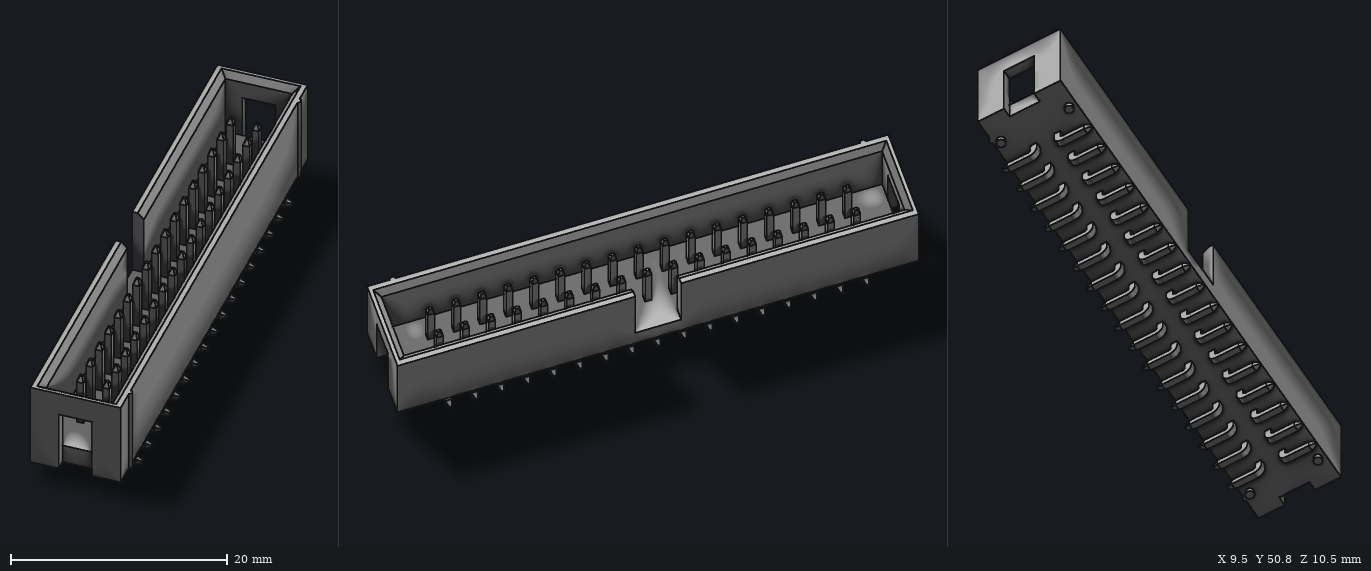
import cadquery as cq


body_length = 50.8
body_width = 8.9
body_height = 8.85
overall_height = 10.5
body_top = overall_height
body_bottom = overall_height - body_height
floor_thickness = 2.0
floor_top = body_bottom + floor_thickness
side_wall = 1.15
end_wall = 1.0
mouth_chamfer = 0.6
cavity_width = body_width - 2 * side_wall
cavity_length = body_length - 2 * end_wall
cavity_depth = body_top - floor_top

key_slot_width = 4.45
end_notch_width = 3.25
end_notch_height = 6.4

standoff_diameter = 0.85
standoff_height = 0.45
standoff_x = 3.65
standoff_y = 22.5
rib_radius = 0.3
rib_y = 22.9
rib_axis_inset = 0.075

pins_per_row = 17
pitch = 2.55
pin_size = 0.65
tip_size = 0.25
tip_length = 0.6
pin_top = 8.9
overall_width = 9.5
pin_lift = 0.1
bend_inner_radius = 0.3
bend_outer_radius = 0.85


def box_between(x_min, x_max, y_min, y_max, z_min, z_max):
    """Box given by its limits along each axis."""
    size = (x_max - x_min, y_max - y_min, z_max - z_min)
    return cq.Workplane("XY").box(*size, centered=False).translate((x_min, y_min, z_min))


def make_housing():
    """Open tray with a chamfered mouth."""
    block = (
        cq.Workplane("XY", origin=(0, 0, body_bottom))
        .box(body_width, body_length, body_height, centered=(True, True, False))
    )
    cavity = (
        cq.Workplane("XY", origin=(0, 0, floor_top))
        .box(cavity_width, cavity_length, cavity_depth, centered=(True, True, False))
    )
    mouth = (
        cq.Workplane("XY", origin=(0, 0, body_top - mouth_chamfer))
        .rect(cavity_width, cavity_length)
        .workplane(offset=mouth_chamfer)
        .rect(cavity_width + 2 * mouth_chamfer, cavity_length + 2 * mouth_chamfer)
        .loft(ruled=True)
    )
    return block.cut(cavity).cut(mouth)


def make_key_slot():
    """Polarising slot through the -X wall, open at the top."""
    return box_between(
        -body_width / 2, -cavity_width / 2,
        -key_slot_width / 2, key_slot_width / 2,
        floor_top, body_top,
    )


def make_end_notch(side):
    """Notch through one end wall, open at the bottom; side is -1 or 1."""
    y_limits = sorted((side * cavity_length / 2, side * body_length / 2))
    return box_between(
        -end_notch_width / 2, end_notch_width / 2,
        *y_limits,
        body_bottom, body_bottom + end_notch_height,
    )


def make_rib(side):
    """Rounded full-height rib on the +X face near one end."""
    return (
        cq.Workplane("XY", origin=(body_width / 2 - rib_axis_inset, side * rib_y, body_bottom))
        .circle(rib_radius)
        .extrude(body_height)
    )


def make_standoffs():
    """Four round standoffs under the corners of the housing."""
    return (
        cq.Workplane("XY", origin=(0, 0, body_bottom))
        .rect(2 * standoff_x, 2 * standoff_y, forConstruction=True)
        .vertices()
        .circle(standoff_diameter / 2)
        .extrude(-standoff_height)
    )


def make_tip(plane):
    """Pyramid-shaped pin end pointing along the plane normal."""
    return (
        cq.Workplane(plane)
        .rect(pin_size, pin_size)
        .workplane(offset=tip_length)
        .rect(tip_size, tip_size)
        .loft(ruled=True)
    )


def make_pin():
    """L-shaped pin of the +X row at Y = 0, its foot pointing to +X."""
    pin_x = pitch / 2
    shank_top = pin_top - tip_length
    foot_end = overall_width / 2 - tip_length
    left = pin_x - pin_size / 2
    right = pin_x + pin_size / 2
    bars = (
        box_between(left, right, -pin_size / 2, pin_size / 2, 0, shank_top)
        .union(box_between(left, foot_end, -pin_size / 2, pin_size / 2, 0, pin_size))
    )
    bend_outside = cq.selectors.NearestToPointSelector((left, 0, 0))
    bend_inside = cq.selectors.NearestToPointSelector((right, 0, pin_size))
    bent = bars.edges("|Y").edges(bend_outside).fillet(bend_outer_radius)
    bent = bent.edges("|Y").edges(bend_inside).fillet(bend_inner_radius)
    top_plane = cq.Plane(origin=(pin_x, 0, shank_top))
    foot_plane = cq.Plane(origin=(foot_end, 0, pin_size / 2), xDir=(0, 1, 0), normal=(1, 0, 0))
    return bent.union(make_tip(top_plane)).union(make_tip(foot_plane))


result = make_housing().cut(make_key_slot()).union(make_standoffs())
for side in (-1, 1):
    result = result.cut(make_end_notch(side)).union(make_rib(side))

right_pin = make_pin()
left_pin = right_pin.mirror("YZ")
last_pin_y = (pins_per_row - 1) / 2 * pitch
for index in range(pins_per_row):
    lift = pin_lift if index > 0 else 0
    place = (0, last_pin_y - index * pitch, lift)
    result = result.union(right_pin.translate(place)).union(left_pin.translate(place))